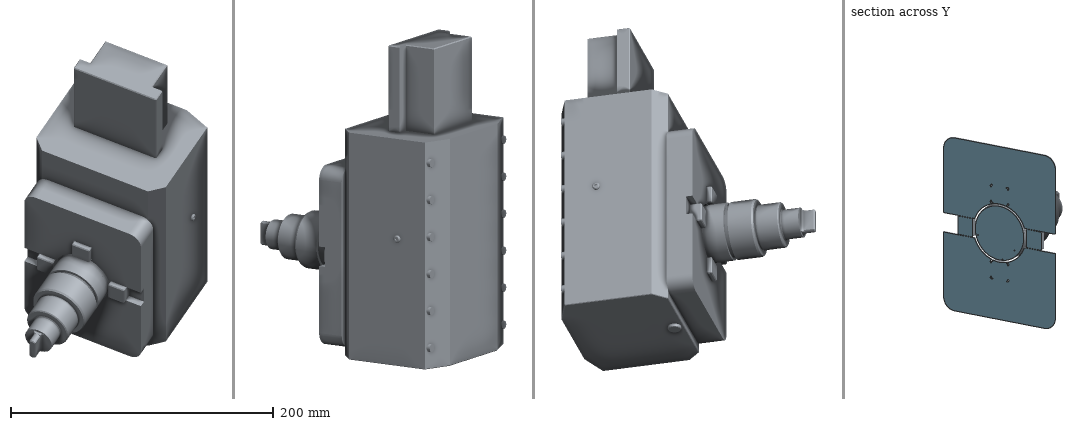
import cadquery as cq

housing_width = 111.2
housing_depth = 87.5
housing_height = 177.0
cap_thickness = 6.2
cover_depth = 10.0
front_chamfer = 10.0
rear_chamfer_x = 22.0
rear_chamfer_y = 8.6
base_edge_chamfer = 0.5

rail_height = 67.0
rail_front_y = 32.8
rail_depth = 36.0
flange_width = 71.0
flange_depth = 10.4
web_width = 53.2
rail_edge_chamfer = 0.7

plate_width = 100.0
plate_height = 139.7
plate_thickness = 20.5
plate_bottom_z = 6.2
plate_corner_radius = 10.0
slot_width = 15.3
slot_depth = 5.2
key_width = 15.0
key_length = 13.8
key_projection = 4.0
key_center_radius = 30.5
key_edge_chamfer = 0.7
relief_diameter = 2.1
relief_inset = 0.5
recess_diameter = 46.5

neck_diameter = 43.6
neck_length = 0.7
land_diameter = 44.0
land_length = 1.5
collar_diameter = 44.5
groove_diameter = 40.2
nose_diameter = 35.0
shaft_diameter = 23.0
groove_rear_y = -37.5
groove_front_y = -40.7
collar_end_y = -60.6
nose_end_y = -79.4
shaft_end_y = -93.7
tip_y = -104.3
collar_chamfer_length = 1.5
collar_chamfer_height = 0.7
nose_chamfer = 0.7
nose_neck_diameter = 33.5
nose_neck_length = 1.2
shaft_root_chamfer = 0.7

tongue_thickness = 5.2
tongue_width = 18.7
tongue_root_radius = 2.2
tongue_crown = 1.2
tip_chamfer = 0.7

plug_diameter = 7.0
plug_depth = 2.5
plug_circle_radius = 13.8
upper_plug_center = (52.5, 151.3)
lower_plug_center = (52.0, 30.0)
pin_diameter = 5.7
pin_projection = 1.7
pin_chamfer = 0.7
pin_socket_diameter = 2.1
pin_socket_depth = 1.2
pin_y = 54.0
pin_z = 99.0
cover_screw_diameter = 6.5
cover_screw_count = 6
cover_screw_pitch = 28.8
cover_screw_side_inset = 1.5
cover_screw_rear_inset = 5.2
foot_diameter = 10.4
foot_height = 2.5
foot_chamfer = 0.5
foot_y = 7.1

half_width = housing_width / 2
axis_z = plate_bottom_z + plate_height / 2
plate_front_y = -plate_thickness


def box(width, depth, height, front_y, bottom_z):
    """Block centred on X = 0, given its front and bottom faces."""
    block = cq.Workplane("XY").box(width, depth, height, centered=(True, False, False))
    return block.translate((0, front_y, bottom_z))


def make_housing():
    """Chamfered column: main body, rear cover and two end caps, with seams kept."""
    front_half = half_width - front_chamfer
    rear_half = half_width - rear_chamfer_x
    rear_corner_y = housing_depth - rear_chamfer_y
    column = (
        cq.Workplane("XY")
        .polyline([
            (-front_half, 0),
            (front_half, 0),
            (half_width, front_chamfer),
            (half_width, rear_corner_y),
            (rear_half, housing_depth),
            (-rear_half, housing_depth),
            (-half_width, rear_corner_y),
            (-half_width, front_chamfer),
        ])
        .close()
        .extrude(housing_height)
        .faces("<Z")
        .chamfer(base_edge_chamfer)
    )
    middle_height = housing_height - 2 * cap_thickness
    cover_front_y = housing_depth - cover_depth
    top_cap_z = housing_height - cap_thickness
    body_space = box(housing_width, cover_front_y, middle_height, 0, cap_thickness)
    cover_space = box(housing_width, cover_depth, middle_height, cover_front_y, cap_thickness)
    bottom_space = box(housing_width, housing_depth, cap_thickness, 0, 0)
    top_space = box(housing_width, housing_depth, cap_thickness, 0, top_cap_z)
    housing = column.intersect(body_space)
    for space in (cover_space, bottom_space, top_space):
        housing = housing.union(column.intersect(space), clean=False)
    return housing


def make_rail():
    """T-section rail with its wide flange at the front."""
    flange = box(flange_width, flange_depth, rail_height, rail_front_y, housing_height)
    web_front_y = rail_front_y + flange_depth
    web_depth = rail_depth - flange_depth
    web = box(web_width, web_depth, rail_height, web_front_y, housing_height)
    flange = flange.edges("<Y and |Z").chamfer(rail_edge_chamfer)
    flange = flange.faces(">Z").edges("not >Y").chamfer(rail_edge_chamfer)
    web = web.faces(">Z").edges("not <Y").chamfer(rail_edge_chamfer)
    return flange.union(web)


def make_plate():
    """Rounded plate with a full-width slot, key corner reliefs and a spindle recess."""
    plate = (
        box(plate_width, plate_thickness, plate_height, plate_front_y, plate_bottom_z)
        .edges("|Y")
        .fillet(plate_corner_radius)
    )
    slot = box(plate_width, slot_depth, slot_width, plate_front_y, axis_z - slot_width / 2)
    reliefs = (
        cq.Workplane("XZ", origin=(0, plate_front_y, axis_z))
        .pushPoints([(0, key_center_radius), (0, -key_center_radius)])
        .rect(key_width - 2 * relief_inset, key_length - 2 * relief_inset, forConstruction=True)
        .vertices()
        .circle(relief_diameter / 2)
        .extrude(-slot_depth)
    )
    recess = (
        cq.Workplane("XZ", origin=(0, plate_front_y, axis_z))
        .circle(recess_diameter / 2)
        .extrude(-slot_depth)
    )
    return plate.cut(slot).cut(reliefs).cut(recess)


def make_keys():
    """Four drive keys around the spindle, seated at the slot floor."""
    key = (
        box(key_width, slot_depth + key_projection, key_length, plate_front_y - key_projection,
            axis_z + key_center_radius - key_length / 2)
        .edges("<Y or |Y")
        .chamfer(key_edge_chamfer)
    )
    keys = cq.Workplane("XY")
    for quarter in range(4):
        keys = keys.add(key.rotate((0, 0, axis_z), (0, 1, axis_z), 90 * quarter))
    return keys.combine()


def make_spindle():
    """Turned spindle revolved about its axis, drawn as radius against Y."""
    neck_radius = neck_diameter / 2
    collar_radius = collar_diameter / 2
    groove_radius = groove_diameter / 2
    nose_radius = nose_diameter / 2
    shaft_radius = shaft_diameter / 2
    land_radius = land_diameter / 2
    nose_neck_radius = nose_neck_diameter / 2
    neck_end_y = plate_front_y - neck_length
    land_end_y = neck_end_y - land_length
    nose_start_y = collar_end_y - nose_neck_length
    return (
        cq.Workplane("XY")
        .polyline([
            (0, plate_front_y + slot_depth),
            (neck_radius, plate_front_y + slot_depth),
            (neck_radius, neck_end_y),
            (land_radius, neck_end_y),
            (land_radius, land_end_y),
            (collar_radius, land_end_y),
            (collar_radius, groove_rear_y),
            (groove_radius, groove_rear_y),
            (groove_radius, groove_front_y),
            (collar_radius, groove_front_y),
            (collar_radius, collar_end_y + collar_chamfer_length),
            (collar_radius - collar_chamfer_height, collar_end_y),
            (nose_neck_radius, collar_end_y),
            (nose_neck_radius, nose_start_y),
            (nose_radius, nose_start_y),
            (nose_radius, nose_end_y + nose_chamfer),
            (nose_radius - nose_chamfer, nose_end_y),
            (shaft_radius + shaft_root_chamfer, nose_end_y),
            (shaft_radius, nose_end_y - shaft_root_chamfer),
            (shaft_radius, shaft_end_y),
            (0, shaft_end_y),
        ])
        .close()
        .revolve(360, (0, 0, 0), (0, 1, 0))
        .translate((0, 0, axis_z))
    )


def make_tongue():
    """Flat tongue with crowned ends, a chamfered tip and root fillets onto the shaft."""
    half_thickness = tongue_thickness / 2
    tongue_length = shaft_end_y - tip_y
    half_tongue = tongue_width / 2
    side_half = half_tongue - tongue_crown
    blade = (
        cq.Workplane("XZ", origin=(0, shaft_end_y, axis_z))
        .moveTo(-half_thickness, -side_half)
        .threePointArc((0, -half_tongue), (half_thickness, -side_half))
        .lineTo(half_thickness, side_half)
        .threePointArc((0, half_tongue), (-half_thickness, side_half))
        .close()
        .extrude(tongue_length)
        .faces("<Y")
        .chamfer(tip_chamfer)
    )
    root_half = half_thickness + tongue_root_radius
    root_end_y = shaft_end_y - tongue_root_radius
    root = (
        cq.Workplane("XY", origin=(0, 0, axis_z - half_tongue))
        .moveTo(-root_half, shaft_end_y)
        .radiusArc((-half_thickness, root_end_y), tongue_root_radius)
        .lineTo(half_thickness, root_end_y)
        .radiusArc((root_half, shaft_end_y), tongue_root_radius)
        .close()
        .extrude(tongue_width)
    )
    return blade.union(root)


def add_plugs(body):
    """Fill flush plugs into both sides, four around each centre."""
    for center_y, center_z in (upper_plug_center, lower_plug_center):
        for side in (-1, 1):
            plugs = (
                cq.Workplane("YZ", origin=(side * half_width, center_y, center_z))
                .polarArray(plug_circle_radius, 0, 360, 4)
                .circle(plug_diameter / 2)
                .extrude(-side * plug_depth)
            )
            body = body.cut(plugs, clean=False).union(plugs, clean=False)
    return body


def make_side_pin():
    """Button-headed pin with a small socket on the -X side."""
    return (
        cq.Workplane("YZ", origin=(-half_width, pin_y, pin_z))
        .circle(pin_diameter / 2)
        .extrude(-pin_projection)
        .faces("<X")
        .chamfer(pin_chamfer)
        .faces("<X")
        .workplane()
        .hole(pin_socket_diameter, pin_socket_depth)
    )


def make_cover_screws():
    """Column of screw heads breaking out of the rear chamfer at -X."""
    screw_radius = cover_screw_diameter / 2
    screw_x = cover_screw_side_inset + screw_radius - half_width
    screw_end_y = housing_depth - cover_screw_rear_inset
    return (
        cq.Workplane("XZ", origin=(screw_x, screw_end_y, housing_height / 2))
        .rarray(2.5, cover_screw_pitch, 1, cover_screw_count)
        .circle(screw_radius)
        .extrude(rear_chamfer_y)
    )


def make_foot():
    """Round foot under the front edge of the housing."""
    return (
        cq.Workplane("XY", origin=(0, foot_y, base_edge_chamfer))
        .circle(foot_diameter / 2)
        .extrude(-foot_height - base_edge_chamfer)
        .faces("<Z")
        .chamfer(foot_chamfer)
    )


result = add_plugs(make_housing())
left_fasteners = (make_side_pin(), make_cover_screws())
right_fasteners = tuple(part.mirror("YZ") for part in left_fasteners)
front_parts = (make_plate(), make_keys(), make_spindle(), make_tongue())
for part in (make_rail(), *front_parts, *left_fasteners, *right_fasteners, make_foot()):
    result = result.union(part, clean=False)